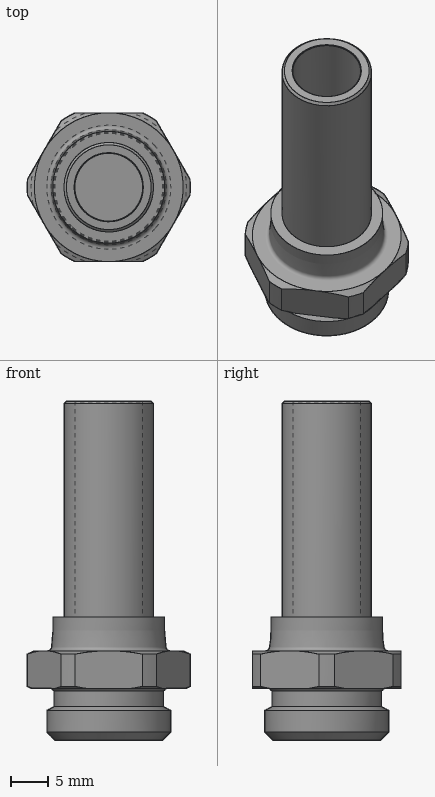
import cadquery as cq
import math

total_height = 45.6
tube_radius = 6.0
tube_tip_chamfer = 0.3
bore_radius = 4.55
bore_edge_chamfer = 0.1

across_flats = 20.0
across_corners = across_flats / math.cos(math.pi / 6)
corner_radius = 11.0
hex_bottom = 6.98
hex_top = 12.05
top_bevel_height = 0.45
top_bevel_radius = across_flats / 2
bottom_bevel_height = 0.27
bottom_bevel_radius = 10.45

collar_top = 16.6
taper_top = 14.75
taper_bottom = 12.55
collar_radius = 7.52
taper_radius = 7.7
flare_radius = 8.2
flare_sag = 0.1

spigot_radius = 8.35
spigot_chamfer = 1.1
spigot_top = 4.0
groove_radius = 7.4
groove_bottom = 4.5
groove_top = 6.6
groove_relief = hex_bottom - groove_top

bore_floor = collar_top


def make_turned_body():
    """Spigot, groove, collar and tube turned about the Z axis."""
    flare_middle = (
        (taper_radius + flare_radius) / 2 - flare_sag,
        (taper_bottom + hex_top) / 2 - flare_sag,
    )
    return (
        cq.Workplane("XZ")
        .moveTo(0, 0)
        .lineTo(spigot_radius - spigot_chamfer, 0)
        .lineTo(spigot_radius, spigot_chamfer)
        .lineTo(spigot_radius, spigot_top)
        .lineTo(groove_radius, groove_bottom)
        .lineTo(groove_radius, groove_top)
        .lineTo(groove_radius + groove_relief, hex_bottom)
        .lineTo(flare_radius, hex_bottom)
        .lineTo(flare_radius, hex_top)
        .threePointArc(flare_middle, (taper_radius, taper_bottom))
        .lineTo(collar_radius, taper_top)
        .lineTo(collar_radius, collar_top)
        .lineTo(tube_radius, collar_top)
        .lineTo(tube_radius, total_height - tube_tip_chamfer)
        .lineTo(tube_radius - tube_tip_chamfer, total_height)
        .lineTo(0, total_height)
        .close()
        .revolve(360, (0, 0, 0), (0, 1, 0))
    )


def make_hexagon():
    """Hexagonal prism trimmed by a bevelled round blank."""
    prism = (
        cq.Workplane("XY", origin=(0, 0, hex_bottom))
        .polygon(6, across_corners)
        .extrude(hex_top - hex_bottom)
    )
    blank = (
        cq.Workplane("XZ")
        .moveTo(0, hex_bottom)
        .lineTo(bottom_bevel_radius, hex_bottom)
        .lineTo(corner_radius, hex_bottom + bottom_bevel_height)
        .lineTo(corner_radius, hex_top - top_bevel_height)
        .lineTo(top_bevel_radius, hex_top)
        .lineTo(0, hex_top)
        .close()
        .revolve(360, (0, 0, 0), (0, 1, 0))
    )
    return prism.intersect(blank)


def make_bore():
    """Cylinder removed from the open end of the tube, with a broken edge."""
    cylinder = (
        cq.Workplane("XY", origin=(0, 0, bore_floor))
        .circle(bore_radius)
        .extrude(total_height - bore_floor)
    )
    edge_break = cq.Workplane("XY").add(
        cq.Solid.makeCone(
            bore_radius,
            bore_radius + bore_edge_chamfer,
            bore_edge_chamfer,
            pnt=cq.Vector(0, 0, total_height - bore_edge_chamfer),
        )
    )
    return cylinder.union(edge_break)


result = make_turned_body().union(make_hexagon()).cut(make_bore())